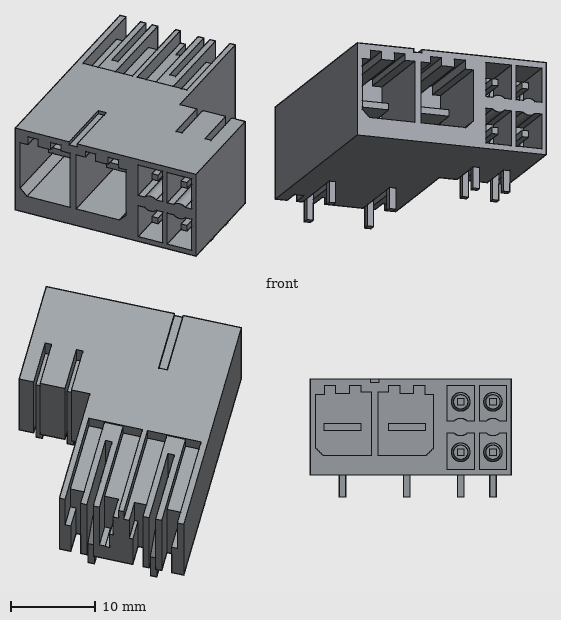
import cadquery as cq
import math


total_width = 23.83
power_length = 28.3
power_width = 15.2
signal_length = 13.3
housing_height = 11.4
pin_reach = 2.6
rim = 0.75
mirror_x = 7.65

power_pitch = 7.6
contact_x = mirror_x - power_pitch / 2
socket_left = 0.65
socket_wall = 0.8
socket_right = mirror_x - socket_wall / 2
socket_floor = 2.32
socket_depth = 11.32
socket_chamfer = 0.9
socket_roof = housing_height - rim
outer_shoulder = housing_height - 1.87
key_underside = housing_height - 1.75
inner_shoulder = housing_height - 1.55
outer_keyway = (1.67, 3.03)
inner_keyway = (4.67, 6.03)

groove_width = 1.05
groove_depth = 0.42
groove_length = 7.85

recess_front = 16.65
recess_depth = 1.7
recess_left = 0.8
recess_wall = 0.62
recess_right = mirror_x - recess_wall / 2
recess_floor = housing_height - recess_depth
rib_width = 2.3
rib_drop = 0.17
rib_left = contact_x - rib_width / 2
rib_right = contact_x + rib_width / 2
notch_front = 25.72
ledge_level = housing_height / 2
outer_ledge_width = 0.7
inner_notch_right = 6.65
inner_ledge_width = 0.42
filler_level = 2.83
foot_radius = 1.1
foot_width = 0.55

metal = 0.8
contact_level = housing_height / 2
blade_width = 4.4
blade_tip = 5.65
blade_end = 14.15
power_slot_front = 19.07
prong_length = 1.02
power_tail_end = 27.73
tail_step = 21.62
tail_top = 3.95
tail_slope_start = 25.4
tail_underside = 0.85

signal_pitch = 3.82
signal_left_x = 17.83
signal_columns = [signal_left_x, signal_left_x + signal_pitch]
signal_upper_z = 8.7
signal_lower_z = 2.72
signal_socket_width = 3.23
signal_socket_depth = 6.23
web_top = 6.42
web_bottom = 4.98
socket_base = 0.68
bump_half_chord = 0.75
bump_height = 0.3
boss_base_radius = 1.1
boss_tip_radius = 0.85
boss_height = 0.85
signal_tip = 1.25
signal_slot_front = 7.7
upper_pin_end = 12.23


def box(x_range, y_range, z_range):
    """Axis-aligned box between the given limits."""
    size = [high - low for low, high in (x_range, y_range, z_range)]
    return cq.Workplane("XY").box(*size, centered=False).translate(
        (x_range[0], y_range[0], z_range[0])
    )


def mirrored(shape):
    """Counterpart of a left power feature in the right power position."""
    return shape.mirror("YZ", (mirror_x, 0, 0))


def housing_block():
    return (
        cq.Workplane("XY")
        .polyline([
            (0, 0),
            (total_width, 0),
            (total_width, signal_length),
            (power_width, signal_length),
            (power_width, power_length),
            (0, power_length),
        ])
        .close()
        .extrude(housing_height)
    )


def power_socket():
    """Left power socket: two keyways in the roof and one chamfered lower corner."""
    return (
        cq.Workplane("XZ")
        .polyline([
            (socket_left + socket_chamfer, socket_floor),
            (socket_right, socket_floor),
            (socket_right, inner_shoulder),
            (inner_keyway[1], inner_shoulder),
            (inner_keyway[1], socket_roof),
            (inner_keyway[0], socket_roof),
            (inner_keyway[0], key_underside),
            (outer_keyway[1], key_underside),
            (outer_keyway[1], socket_roof),
            (outer_keyway[0], socket_roof),
            (outer_keyway[0], outer_shoulder),
            (socket_left, outer_shoulder),
            (socket_left, socket_floor + socket_chamfer),
        ])
        .close()
        .extrude(-socket_depth)
    )


def coding_groove():
    return box(
        (mirror_x - groove_width / 2, mirror_x + groove_width / 2),
        (0, groove_length),
        (housing_height - groove_depth, housing_height),
    )


def rear_recess():
    """Left rear recess: channels beside the rib, with an end notch in each channel floor."""
    channel_y = (recess_front, power_length)
    notch_y = (notch_front, power_length)
    channel_z = (recess_floor, housing_height)
    upper_z = (ledge_level, recess_floor)
    lower_z = (0, ledge_level)
    rib_clearance_z = (housing_height - rib_drop, housing_height)
    recess = box((recess_left, rib_left), channel_y, channel_z)
    recess = recess.union(box((rib_left, rib_right), channel_y, rib_clearance_z))
    recess = recess.union(box((rib_right, recess_right), channel_y, channel_z))
    recess = recess.union(box((recess_left, rib_left), notch_y, upper_z))
    recess = recess.union(box((recess_left + outer_ledge_width, rib_left), notch_y, lower_z))
    recess = recess.union(box((rib_right, inner_notch_right), notch_y, upper_z))
    inner_ledge_edge = inner_notch_right - inner_ledge_width
    return recess.union(box((rib_right, inner_ledge_edge), notch_y, lower_z))


def notch_filler():
    """Step that closes the inner notch of the right recess, with a concave foot."""
    left = 2 * mirror_x - inner_notch_right + inner_ledge_width
    right = 2 * mirror_x - rib_right
    arc_center_z = filler_level + math.sqrt(foot_radius**2 - foot_width**2)
    half_angle = math.asin(foot_width / foot_radius) / 2
    arc_middle = (
        left + foot_radius * math.sin(half_angle),
        arc_center_z - foot_radius * math.cos(half_angle),
    )
    return (
        cq.Workplane("XZ", origin=(0, notch_front, 0))
        .moveTo(left, 0)
        .lineTo(right, 0)
        .lineTo(right, filler_level)
        .lineTo(left + foot_width, filler_level)
        .threePointArc(arc_middle, (left, arc_center_z - foot_radius))
        .close()
        .extrude(notch_front - power_length)
    )


def tail_slot(center_x, front, rear):
    """Slot open to the rear, the top and the underside, in which the contact tails hang."""
    return box((center_x - metal / 2, center_x + metal / 2), (front, rear), (0, housing_height))


def signal_socket(center_x, outer_z, web_z):
    """Signal socket whose web side carries a rounded bump that reaches into the socket."""
    toward_outside = math.copysign(1, outer_z - web_z)
    left = center_x - signal_socket_width / 2
    right = center_x + signal_socket_width / 2
    return (
        cq.Workplane("XZ")
        .moveTo(left, outer_z)
        .lineTo(left, web_z)
        .lineTo(center_x - bump_half_chord, web_z)
        .threePointArc(
            (center_x, web_z + toward_outside * bump_height),
            (center_x + bump_half_chord, web_z),
        )
        .lineTo(right, web_z)
        .lineTo(right, outer_z)
        .close()
        .extrude(-signal_socket_depth)
    )


def pin_boss(center_x, center_z):
    """Tapered boss on the socket's back wall, around the pin."""
    return cq.Workplane(obj=cq.Solid.makeCone(
        boss_base_radius,
        boss_tip_radius,
        boss_height,
        pnt=cq.Vector(center_x, signal_socket_depth, center_z),
        dir=cq.Vector(0, -1, 0),
    ))


def build_housing(contacts):
    housing = housing_block().cut(coding_groove())
    for left_feature in (power_socket(), rear_recess()):
        housing = housing.cut(left_feature).cut(mirrored(left_feature))
    housing = housing.union(notch_filler())
    for x in (contact_x, contact_x + power_pitch):
        housing = housing.cut(tail_slot(x, power_slot_front, power_length))
    for x in signal_columns:
        housing = housing.cut(signal_socket(x, housing_height - rim, web_top))
        housing = housing.cut(signal_socket(x, socket_base, web_bottom))
        housing = housing.cut(tail_slot(x, signal_slot_front, signal_length))
        for z in (signal_upper_z, signal_lower_z):
            housing = housing.union(pin_boss(x, z))
    for contact in contacts:
        housing = housing.cut(contact)
    return housing


def power_contact(center_x):
    """Flat blade with a narrow upright tail that ends in two solder prongs."""
    bottom = contact_level - metal / 2
    top = contact_level + metal / 2
    slope_drop = power_tail_end - tail_slope_start
    front_prong_rear = power_slot_front + prong_length
    rear_prong_front = power_tail_end - prong_length
    blade = box(
        (center_x - blade_width / 2, center_x + blade_width / 2),
        (blade_tip, blade_end),
        (bottom, top),
    )
    tail = (
        cq.Workplane("YZ", origin=(center_x, 0, 0))
        .polyline([
            (blade_end, bottom),
            (power_slot_front, bottom),
            (power_slot_front, -pin_reach),
            (front_prong_rear, -pin_reach),
            (front_prong_rear, tail_underside),
            (rear_prong_front, tail_underside),
            (rear_prong_front, -pin_reach),
            (power_tail_end, -pin_reach),
            (power_tail_end, tail_top - slope_drop),
            (tail_slope_start, tail_top),
            (tail_step, tail_top),
            (tail_step, top),
            (blade_end, top),
        ])
        .close()
        .extrude(metal / 2, both=True)
    )
    return blade.union(tail)


def signal_pin(center_x, center_z, rear_end):
    """Square pin bent down at its rear end."""
    x_range = (center_x - metal / 2, center_x + metal / 2)
    top = center_z + metal / 2
    shank = box(x_range, (signal_tip, rear_end), (top - metal, top))
    tail = box(x_range, (rear_end - metal, rear_end), (-pin_reach, top))
    return shank.union(tail)


power_contacts = [power_contact(x) for x in (contact_x, contact_x + power_pitch)]
signal_pins = []
for column_x in signal_columns:
    signal_pins.append(signal_pin(column_x, signal_upper_z, upper_pin_end))
    signal_pins.append(signal_pin(column_x, signal_lower_z, signal_slot_front + metal))
housing = build_housing(power_contacts + signal_pins)

result = cq.Compound.makeCompound([
    housing.solids().val(),
    *[contact.solids().val() for contact in power_contacts],
    *[pin.solids().val() for pin in signal_pins],
])